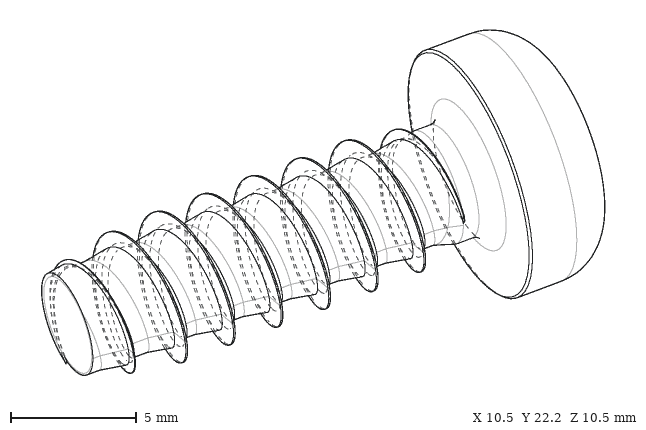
import cadquery as cq
import math


head_radius = 10.5 / 2
head_height = 4.19
head_dome_radius = 2.1
head_edge_chamfer = 0.1

shank_length = 18.0
neck_radius = 2.4
neck_fillet = 0.8
neck_length = 1.5
neck_cone_length = 1.0
neck_cone_end_radius = 2.1
core_radius = 2.13
tip_dimple_radius = 2.04
tip_dimple_depth = 0.3

pitch = 2.14
thread_radius = 3.0
thread_start = 1.44
crest_half_width = 0.04
head_flank_bend = 0.21
head_flank_bend_radius = 2.4
head_flank_root = 0.46
tip_flank_root = 0.19
ridge_radius = 2.31
ridge_length = 1.25
run_in_turns = 1.5
run_in_full_turn = 1.0
run_out_turns = 1.6
smallest_thread_scale = 0.05

turns_before_start = 2
turns_after_start = 9
points_per_turn = 24


def make_head():
    """Domed head with a small chamfer around its lower edge."""
    blank = cq.Workplane("XZ").circle(head_radius).extrude(-head_height)
    domed = blank.faces(">Y").edges().fillet(head_dome_radius)
    return domed.faces("<Y").edges().chamfer(head_edge_chamfer)


def make_neck():
    """Neck with its fillet into the head and a short cone down to the core."""
    fillet_middle = neck_fillet * (1 - math.sqrt(0.5))
    profile = (
        cq.Workplane("XY")
        .moveTo(0, head_height / 2)
        .lineTo(neck_radius + neck_fillet, head_height / 2)
        .lineTo(neck_radius + neck_fillet, 0)
        .threePointArc(
            (neck_radius + fillet_middle, -fillet_middle),
            (neck_radius, -neck_fillet),
        )
        .lineTo(neck_radius, -neck_length)
        .lineTo(neck_cone_end_radius, -neck_length - neck_cone_length)
        .lineTo(0, -neck_length - neck_cone_length)
        .close()
    )
    return profile.revolve(360, (0, 0, 0), (0, 1, 0))


def thread_scale(turn):
    """Share of the full thread height, which rises along the run-in and falls along the run-out."""
    last_turn = (shank_length - thread_start) / pitch
    run_in = 1 - (run_in_full_turn - turn) / run_in_turns
    run_out = (last_turn - turn) / run_out_turns
    return max(smallest_thread_scale, min(run_in, 1, run_out))


def root_axial(turn):
    """Axial place of the head-side root of the thread."""
    return -head_flank_root * thread_scale(turn)


def thread_section(turn):
    """One pitch of the shank outline as (axial, radius) points, from root to next root."""
    scale = thread_scale(turn)
    bend_radius = core_radius + scale * (head_flank_bend_radius - core_radius)
    top_radius = ridge_radius + scale * (thread_radius - ridge_radius)
    return [
        (root_axial(turn), core_radius),
        (-head_flank_bend * scale, bend_radius),
        (-crest_half_width * scale, top_radius),
        (crest_half_width * scale, top_radius),
        (tip_flank_root * scale, ridge_radius),
        (ridge_length, core_radius),
        (pitch + root_axial(turn + 1), core_radius),
    ]


def helix_point(turn, axial, radius):
    """Point on the right-hand helix that starts on the +X side and runs toward -Y."""
    angle = 2 * math.pi * turn
    y = -(thread_start + pitch * turn + axial)
    return cq.Vector(radius * math.cos(angle), y, radius * math.sin(angle))


def helix_paths(first_turn):
    """Curves that the section points follow over one turn."""
    turns = [first_turn + step / points_per_turn for step in range(points_per_turn + 1)]
    sections = [[helix_point(turn, *point) for point in thread_section(turn)] for turn in turns]
    return [cq.Edge.makeSpline(list(points)) for points in zip(*sections)]


def end_helicoid(first_turn, path):
    """Helicoid between the axis and a root path, closing one end of the threaded body."""
    axis_start = helix_point(first_turn, root_axial(first_turn), 0)
    axis_end = helix_point(first_turn + 1, root_axial(first_turn + 1), 0)
    return cq.Face.makeRuledSurface(cq.Edge.makeLine(axis_start, axis_end), path)


def end_step(turn):
    """Flat face one pitch long, from the axis out to the thread section."""
    outline = [helix_point(turn, *point) for point in thread_section(turn)]
    outline.append(helix_point(turn, pitch + root_axial(turn + 1), 0))
    outline.append(helix_point(turn, root_axial(turn), 0))
    return cq.Face.makeFromWires(cq.Wire.makePolygon(outline, close=True))


def make_threaded_shank():
    """Thread, ridge and core as one outline wound around the axis, trimmed to length."""
    turns = range(-turns_before_start, turns_after_start)
    turn_paths = [helix_paths(turn) for turn in turns]
    faces = [
        cq.Face.makeRuledSurface(path, next_path)
        for paths in turn_paths
        for path, next_path in zip(paths, paths[1:])
    ]
    faces.append(end_step(-turns_before_start))
    faces.append(end_step(turns_after_start))
    faces.append(end_helicoid(-turns_before_start, turn_paths[0][0]))
    faces.append(end_helicoid(turns_after_start, turn_paths[-1][-1]))
    body = cq.Workplane(obj=cq.Solid.makeSolid(cq.Shell.makeShell(faces)))
    envelope = (
        cq.Workplane("XZ", origin=(0, -neck_length, 0))
        .circle(head_radius)
        .extrude(shank_length - neck_length)
    )
    return body.intersect(envelope)


def make_tip_dimple():
    """Shallow cone sunk into the end of the shank."""
    return (
        cq.Workplane("XY")
        .moveTo(0, -shank_length)
        .lineTo(tip_dimple_radius, -shank_length)
        .lineTo(0, -shank_length + tip_dimple_depth)
        .close()
        .revolve(360, (0, 0, 0), (0, 1, 0))
    )


screw = make_head().union(make_neck()).union(make_threaded_shank())
result = screw.cut(make_tip_dimple())